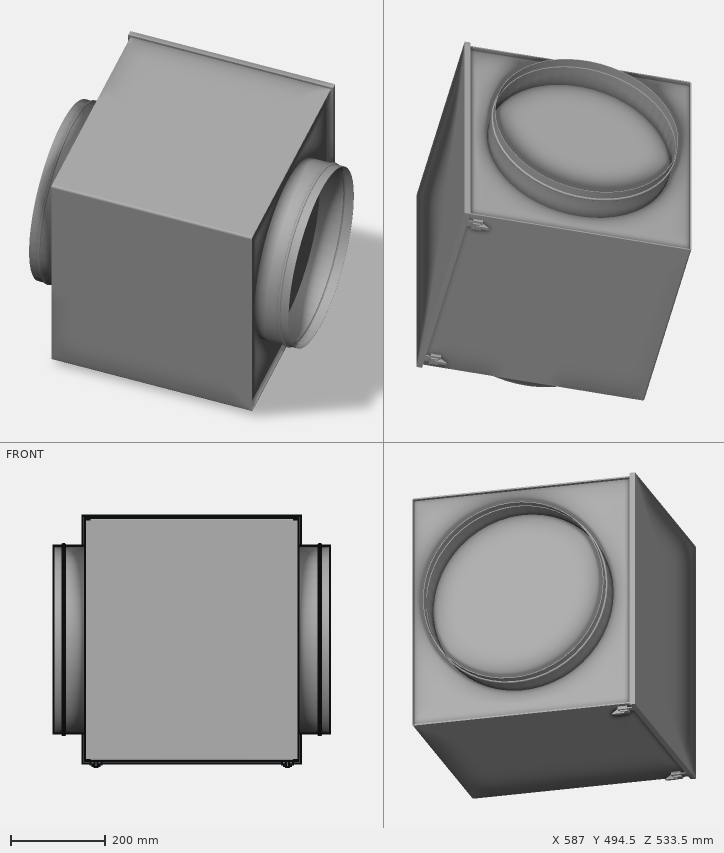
import cadquery as cq

TOTAL_LENGTH = 587.0

FLANGE_WIDTH = 464.0
FLANGE_HEIGHT = 526.0
FLANGE_DEPTH = 12.5
FLANGE_OVERHANG = 5.0
FRONT_Y = -243.5
BACK_Y = 251.0
FRONT_FILLET = 5.0
RIM_THICKNESS = 3.0
RECESS_DEPTH = 10.0
BACK_LIP = 0.5

BOX_WIDTH = FLANGE_WIDTH - 2 * FLANGE_OVERHANG
BOX_HEIGHT = FLANGE_HEIGHT - 2 * FLANGE_OVERHANG
BOX_BOTTOM_Z = -BOX_HEIGHT / 2
FLANGE_FRONT_Y = BACK_Y - FLANGE_DEPTH
SIDE_PANEL_X = BOX_WIDTH / 2 - RECESS_DEPTH

PIPE_RADIUS = 199.5
PIPE_WALL = 1.0
BEAD_TO_PIPE_END = 22.0
BEAD_WIDTH = 6.0
BEAD_HEIGHT = 3.0

LATCH_X = 203.0
LATCH_BELOW_FLANGE = 7.5
LATCH_DROP = FLANGE_OVERHANG + LATCH_BELOW_FLANGE
LATCH_GAP = 10.5
BASE_WIDTH = 24.0
BASE_LENGTH = 21.0
BASE_HEIGHT = 7.0
CATCH_WIDTH = 14.0
CATCH_LENGTH = 16.5
CATCH_HEIGHT = 10.5
LEVER_WIDTH = 7.0
LEVER_LENGTH = 36.5
LEVER_STEP_LENGTH = 9.5
LEVER_STEP_HEIGHT = 3.0
HOOK_WIDTH = 14.0
HOOK_THICKNESS = 3.0
HOOK_DROP = 2.0


def box_between(x_min, x_max, y_min, y_max, z_min, z_max):
    return cq.Workplane("XY").box(
        x_max - x_min, y_max - y_min, z_max - z_min, centered=False
    ).translate((x_min, y_min, z_min))


def make_box():
    """Box rounded along its top and bottom front edges, with recessed sides and a back flange."""
    half_width = BOX_WIDTH / 2
    half_height = BOX_HEIGHT / 2
    box = box_between(-half_width, half_width, FRONT_Y, FLANGE_FRONT_Y, -half_height, half_height)
    box = box.faces("<Y").edges("|X").fillet(FRONT_FILLET)

    recess_half_height = half_height - RIM_THICKNESS
    for x_min, x_max in ((-half_width, -SIDE_PANEL_X), (SIDE_PANEL_X, half_width)):
        recess = box_between(
            x_min,
            x_max,
            FRONT_Y + RIM_THICKNESS,
            FLANGE_FRONT_Y - BACK_LIP,
            -recess_half_height,
            recess_half_height,
        )
        box = box.cut(recess)

    flange = box_between(
        -FLANGE_WIDTH / 2, FLANGE_WIDTH / 2, FLANGE_FRONT_Y, BACK_Y, -FLANGE_HEIGHT / 2, FLANGE_HEIGHT / 2
    )
    return box.union(flange)


def make_pipe_end():
    """Thin pipe on the +X side, with one bead rolled outward through its wall."""
    end_x = TOTAL_LENGTH / 2
    inner_radius = PIPE_RADIUS - PIPE_WALL
    bead_x = end_x - BEAD_TO_PIPE_END
    outer_half_width = BEAD_WIDTH / 2
    inner_half_width = outer_half_width - PIPE_WALL
    wall_profile = (
        cq.Workplane("XY")
        .moveTo(SIDE_PANEL_X, inner_radius)
        .lineTo(bead_x - inner_half_width, inner_radius)
        .threePointArc(
            (bead_x, inner_radius + BEAD_HEIGHT), (bead_x + inner_half_width, inner_radius)
        )
        .lineTo(end_x, inner_radius)
        .lineTo(end_x, PIPE_RADIUS)
        .lineTo(bead_x + outer_half_width, PIPE_RADIUS)
        .threePointArc(
            (bead_x, PIPE_RADIUS + BEAD_HEIGHT), (bead_x - outer_half_width, PIPE_RADIUS)
        )
        .lineTo(SIDE_PANEL_X, PIPE_RADIUS)
        .close()
    )
    return wall_profile.revolve(360, (0, 0, 0), (1, 0, 0))


def make_housing():
    pipe_end = make_pipe_end()
    return make_box().union(pipe_end).union(pipe_end.mirror("YZ"))


def make_latch(x):
    """Latch on the box bottom: base, catch block, tapered lever, and a hook that reaches the flange."""
    back_y = FLANGE_FRONT_Y - LATCH_GAP
    front_y = back_y - BASE_LENGTH
    bottom_z = BOX_BOTTOM_Z - LATCH_DROP
    step_z = bottom_z + LEVER_STEP_HEIGHT

    base = box_between(
        x - BASE_WIDTH / 2,
        x + BASE_WIDTH / 2,
        front_y,
        back_y,
        BOX_BOTTOM_Z - BASE_HEIGHT,
        BOX_BOTTOM_Z,
    )
    catch = box_between(
        x - CATCH_WIDTH / 2,
        x + CATCH_WIDTH / 2,
        back_y - CATCH_LENGTH,
        back_y,
        BOX_BOTTOM_Z - CATCH_HEIGHT,
        BOX_BOTTOM_Z,
    )
    lever_profile = [
        (back_y, BOX_BOTTOM_Z),
        (back_y, step_z),
        (back_y - LEVER_STEP_LENGTH, step_z),
        (back_y - LEVER_STEP_LENGTH, bottom_z),
        (back_y - LEVER_LENGTH, bottom_z),
        (front_y, BOX_BOTTOM_Z),
    ]
    lever = (
        cq.Workplane("YZ", origin=(x - LEVER_WIDTH / 2, 0, 0))
        .polyline(lever_profile)
        .close()
        .extrude(LEVER_WIDTH)
    )
    hook_top_z = BOX_BOTTOM_Z - HOOK_DROP
    hook = box_between(
        x - HOOK_WIDTH / 2,
        x + HOOK_WIDTH / 2,
        back_y,
        FLANGE_FRONT_Y,
        hook_top_z - HOOK_THICKNESS,
        hook_top_z,
    )
    return base.union(catch).union(lever).union(hook)


housing = make_housing()
latches = [make_latch(x) for x in (-LATCH_X, LATCH_X)]

result = cq.Compound.makeCompound([housing.val(), *[latch.val() for latch in latches]])